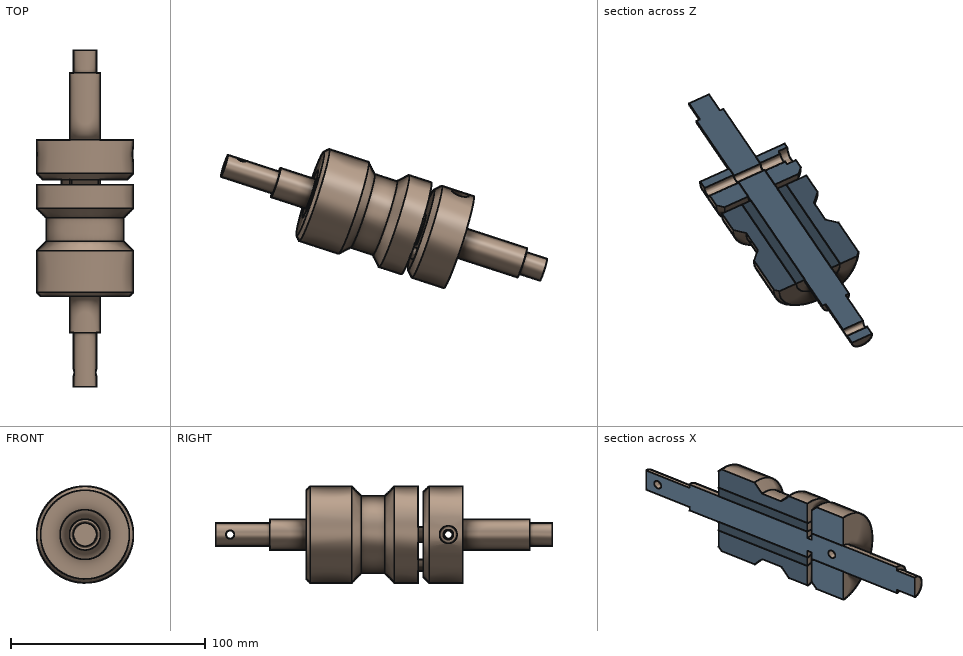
import cadquery as cq


shaft_length = 173.5
shaft_dia = 16.0
journal_dia = 12.0
front_journal_length = 28.0
rear_journal_length = 11.6
front_shoulder_reach = 18.7
flats_width = 8.0
end_hole_dia = 4.2
end_hole_inset = 7.5

body_dia = 50.0
groove_dia = 40.0
spool_length = 57.6
spool_chamfer = 2.0
spool_rear_land = 12.1
groove_floor_length = 12.1
groove_cone_length = (body_dia - groove_dia) / 2
collar_length = 20.5
collar_chamfer = 3.1
screw_hole_inset = 7.5
screw_hole_dia = 5.2
screw_core_dia = 4.2
screw_head_dia = 9.0
screw_head_depth = 5.2
gap = 2.6

bushing_dia = 25.7
drive_pin_dia = 6.0
drive_pin_radius = 18.2
drive_pin_angle = 150.0
drive_pin_depth = 10.4

shaft_front = -shaft_length / 2
shaft_rear = shaft_length / 2
front_shoulder = shaft_front + front_journal_length
rear_shoulder = shaft_rear - rear_journal_length
spool_front = front_shoulder + front_shoulder_reach
spool_rear = spool_front + spool_length
collar_front = spool_rear + gap
collar_rear = collar_front + collar_length
screw_y = collar_rear - screw_hole_inset


def cylinder_y(dia, y_start, y_end):
    """Cylinder on the Y axis between two Y positions."""
    plane = cq.Plane(origin=(0, y_start, 0), xDir=(1, 0, 0), normal=(0, 1, 0))
    return cq.Workplane(plane).circle(dia / 2).extrude(y_end - y_start)


def cylinder_x(dia, length, y):
    """Cylinder parallel to X, centred on the shaft axis at the given Y."""
    return cq.Workplane("YZ").center(y, 0).circle(dia / 2).extrude(length / 2, both=True)


def make_drive_pin():
    """Off-centre pin that couples the spool to the collar."""
    pin = cylinder_y(drive_pin_dia, spool_rear - drive_pin_depth, collar_front + drive_pin_depth)
    pin = pin.translate((0, 0, drive_pin_radius))
    return pin.rotate((0, 0, 0), (0, 1, 0), -drive_pin_angle)


def make_shaft():
    """Stepped shaft with a journal at each end."""
    shaft = cylinder_y(journal_dia, shaft_front, shaft_rear)
    shaft = shaft.union(cylinder_y(shaft_dia, front_shoulder, rear_shoulder))
    neck = cylinder_y(shaft_dia, spool_rear, collar_front)
    flat_slab = cq.Workplane("XY", origin=(0, spool_rear + gap / 2, 0)).box(shaft_dia, gap, flats_width)
    shaft = shaft.cut(neck.cut(flat_slab))
    shaft = shaft.cut(cylinder_x(end_hole_dia, shaft_dia, shaft_front + end_hole_inset))
    return shaft.cut(cylinder_x(screw_core_dia, shaft_dia, screw_y))


def make_spool(drive_pin):
    """Grooved spool, bored for the bushing and for the drive pin."""
    groove_rear = spool_rear - spool_rear_land
    floor_rear = groove_rear - groove_cone_length
    floor_front = floor_rear - groove_floor_length
    groove_front = floor_front - groove_cone_length
    profile = [
        (0, spool_front),
        (body_dia / 2 - spool_chamfer, spool_front),
        (body_dia / 2, spool_front + spool_chamfer),
        (body_dia / 2, groove_front),
        (groove_dia / 2, floor_front),
        (groove_dia / 2, floor_rear),
        (body_dia / 2, groove_rear),
        (body_dia / 2, spool_rear),
        (0, spool_rear),
    ]
    spool = cq.Workplane("XY").polyline(profile).close().revolve(360, (0, 0, 0), (0, 1, 0))
    spool = spool.cut(cylinder_y(bushing_dia, spool_front, spool_rear))
    return spool.cut(drive_pin)


def make_bushing():
    """Plain sleeve between the spool and the shaft."""
    bushing = cylinder_y(bushing_dia, spool_front, spool_rear)
    return bushing.cut(cylinder_y(shaft_dia, spool_front, spool_rear))


def make_collar(drive_pin):
    """Collar with a cross screw hole, bored for the shaft and for the drive pin."""
    collar = cylinder_y(body_dia, collar_front, collar_rear).faces("<Y").chamfer(collar_chamfer)
    collar = collar.cut(cylinder_y(shaft_dia, collar_front, collar_rear))
    collar = collar.cut(cylinder_x(screw_hole_dia, body_dia, screw_y))
    head_seat = cq.Workplane("YZ", origin=(body_dia / 2 - screw_head_depth, screw_y, 0))
    collar = collar.cut(head_seat.circle(screw_head_dia / 2).extrude(screw_head_depth))
    return collar.cut(drive_pin)


drive_pin = make_drive_pin()
shaft = make_shaft()
spool = make_spool(drive_pin)
bushing = make_bushing()
collar = make_collar(drive_pin)

result = cq.Compound.makeCompound([
    shaft.val(),
    spool.val(),
    bushing.val(),
    collar.val(),
    drive_pin.val(),
])